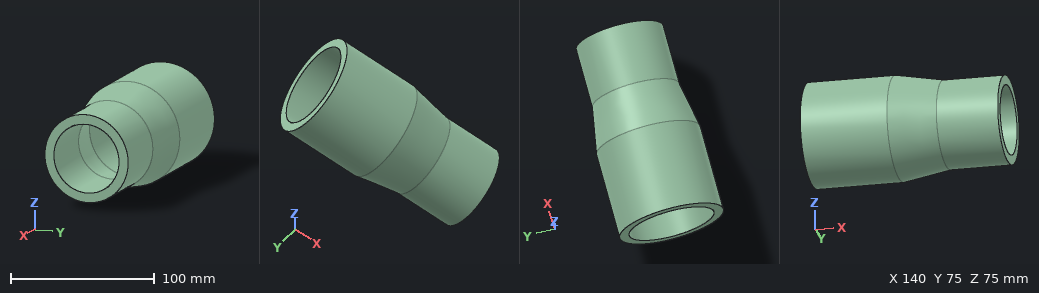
import cadquery as cq

total_length = 140.0
wide_length = 62.2
narrow_length = 44.0

wide_outer_diameter = 75.0
wide_inner_diameter = 61.2
narrow_outer_diameter = 63.0
narrow_inner_diameter = 49.1

cone_start = wide_length
cone_end = total_length - narrow_length


def stepped_round(wide_diameter, narrow_diameter):
    """Solid of revolution about X that tapers from the wide to the narrow diameter."""
    wide_radius = wide_diameter / 2
    narrow_radius = narrow_diameter / 2
    return (
        cq.Workplane("XY")
        .moveTo(0, 0)
        .lineTo(0, wide_radius)
        .lineTo(cone_start, wide_radius)
        .lineTo(cone_end, narrow_radius)
        .lineTo(total_length, narrow_radius)
        .lineTo(total_length, 0)
        .close()
        .revolve(360, (0, 0, 0), (1, 0, 0))
    )


body = stepped_round(wide_outer_diameter, narrow_outer_diameter)
bore = stepped_round(wide_inner_diameter, narrow_inner_diameter)

result = body.cut(bore)